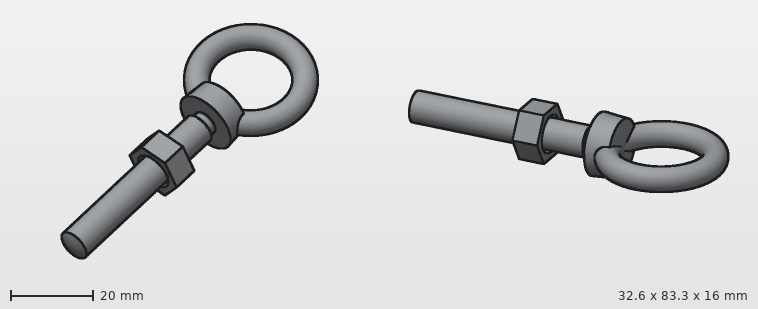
import cadquery as cq
import math

overall_length = 83.3

ring_outer_radius = 16.285
ring_inner_radius = 10.0
tube_radius = (ring_outer_radius - ring_inner_radius) / 2
ring_middle_radius = ring_inner_radius + tube_radius

collar_top_y = -10.7
collar_length = 6.3
collar_top_radius = 7.5
collar_base_radius = 8.0
collar_crown_height = 0.6
collar_base_y = collar_top_y - collar_length

shank_radius = 4.0
neck_radius = 3.2
flare_end_radius = 3.6
neck_straight_length = 0.4
neck_flare_length = 2.0
neck_flare_rise = flare_end_radius - neck_radius
neck_flare_radius = (neck_flare_length**2 + neck_flare_rise**2) / (2 * neck_flare_rise)
flare_start_y = collar_base_y - neck_straight_length
shank_top_y = flare_start_y - neck_flare_length
tip_y = ring_outer_radius - overall_length
dome_height = 0.8
dome_base_y = tip_y + dome_height

nut_top_y = -29.9
nut_length = 6.7
nut_across_flats = 13.0
nut_corner_diameter = nut_across_flats / math.cos(math.radians(30))
countersink_radius = 4.8
countersink_depth = countersink_radius - shank_radius
nut_bottom_y = nut_top_y - nut_length


def make_ring():
    """Round bar bent into a closed ring lying in the XY plane."""
    return cq.Workplane(cq.Solid.makeTorus(ring_middle_radius, tube_radius))


def dome_midpoint(rim_radius, apex_y, height, direction):
    """Point halfway along a spherical dome's profile; direction is +1 if the dome points to +Y, else -1."""
    sphere_radius = (rim_radius**2 + height**2) / (2 * height)
    half_angle = math.asin(rim_radius / sphere_radius) / 2
    drop = sphere_radius * (1 - math.cos(half_angle))
    return (sphere_radius * math.sin(half_angle), apex_y - direction * drop)


def flare_midpoint():
    """Point halfway along the arc of the neck flare."""
    half_angle = math.asin(neck_flare_length / neck_flare_radius) / 2
    return (
        neck_radius + neck_flare_radius * (1 - math.cos(half_angle)),
        flare_start_y - neck_flare_radius * math.sin(half_angle),
    )


def make_stem():
    """Crowned collar, flared neck and domed shank, turned about the Y axis."""
    crown_y = collar_top_y + collar_crown_height
    crown_mid = dome_midpoint(collar_top_radius, crown_y, collar_crown_height, 1)
    tip_mid = dome_midpoint(shank_radius, tip_y, dome_height, -1)
    return (
        cq.Workplane("XY")
        .moveTo(0, crown_y)
        .threePointArc(crown_mid, (collar_top_radius, collar_top_y))
        .lineTo(collar_base_radius, collar_base_y)
        .lineTo(neck_radius, collar_base_y)
        .lineTo(neck_radius, flare_start_y)
        .threePointArc(flare_midpoint(), (flare_end_radius, shank_top_y))
        .lineTo(shank_radius, shank_top_y)
        .lineTo(shank_radius, dome_base_y)
        .threePointArc(tip_mid, (0, tip_y))
        .close()
        .revolve(360, (0, 0, 0), (0, 1, 0))
    )


def make_eye_bolt():
    return make_stem().union(make_ring())


def make_nut():
    """Hexagon nut that fits the shank, with its bore countersunk at both ends."""
    blank = (
        cq.Workplane("XZ", origin=(0, nut_top_y, 0))
        .polygon(6, nut_corner_diameter)
        .extrude(nut_length)
    )
    bore = (
        cq.Workplane("XY")
        .moveTo(0, nut_top_y)
        .lineTo(countersink_radius, nut_top_y)
        .lineTo(shank_radius, nut_top_y - countersink_depth)
        .lineTo(shank_radius, nut_bottom_y + countersink_depth)
        .lineTo(countersink_radius, nut_bottom_y)
        .lineTo(0, nut_bottom_y)
        .close()
        .revolve(360, (0, 0, 0), (0, 1, 0))
    )
    return blank.cut(bore)


eye_bolt = make_eye_bolt()
nut = make_nut()
result = cq.Compound.makeCompound([eye_bolt.val(), nut.val()])